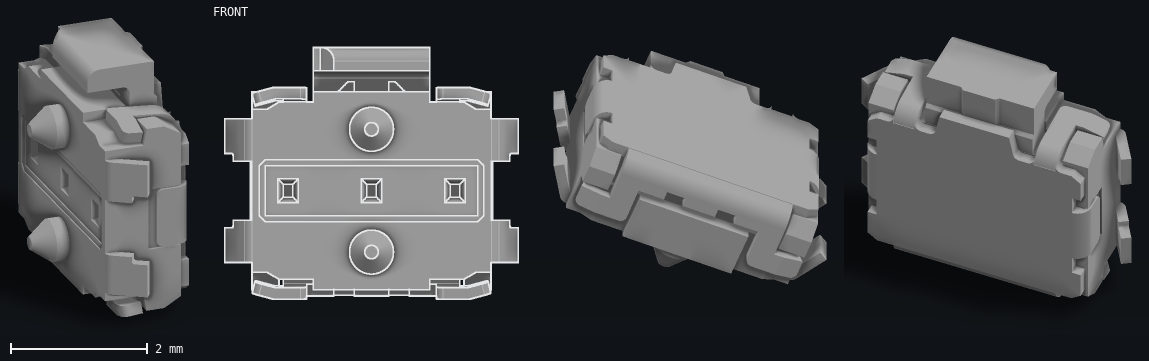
import cadquery as cq
import math


body_half_width = 1.75
shoulder_half_height = 1.3
corner_half_height = 1.195
corner_bevel_outer = 1.525
wing_inner = 1.35
tab_half_width = 0.855
tab_half_height = 1.45
front_depth = 0.675
rear_half_height = 1.215
wing_front = 0.605
wing_slant = 0.047
wing_back = 1.19
wing_bevel_depth = 0.262

field_half_width = 1.643
field_half_height = 0.455
field_chamfer = 0.09
field_border = 0.09
field_step = 0.02
contact_pitch = 1.22
contact_mouth = (0.305, 0.353)
contact_floor = (0.14, 0.185)
contact_depth = 0.43

peg_radius = 0.322
peg_tip_radius = 0.1
peg_straight = 0.198
peg_length = 0.507
peg_offset = 0.9

latch_top = 2.1
latch_front = 0.07
latch_underside = 1.755
latch_nose_radius = 0.198
latch_corner_start = -0.55
latch_corner_cut = 0.2
stem_front = 0.73
stem_back = 1.115
stem_root_radius = 0.105
back_pad = 0.05
back_pad_half_width = 0.255
back_ledge_top = 1.57
recess_depth = 0.02
recess_top = 1.595
recess_rib = 0.255
recess_half_top = 0.345
recess_half_base = 0.49

sheet = 0.17
cover_back = 1.34
cover_front = cover_back - sheet
cover_half_width = 1.7
cover_mid_z = -0.04
cover_half_height = 1.235
cover_chamfer_x = 0.15
cover_chamfer_z = 0.105
cover_notch_half_height = 0.752
hat_top = 1.595
hat_half_top = 0.555
hat_half_base = 0.635

clip_inner = 0.95
clip_outer = 1.295
clip_end = 1.745
clip_front = 0.305
foot_depth = 0.3
clip_reach = 1.552
clip_slope = 5.0
foot_bend = 15.0
foot_bend_x = 1.43
clip_bend_radius = 0.325
foot_corner_radius = 0.095
lip_front = 0.86
lip_notch_front = 0.99
lip_notch_inner = 0.255
lip_notch_outer = 0.55
root_fillet = 0.105

tongue_face = 1.775
tongue_front = 0.81
tongue_half_height = 0.455
tongue_bend_radius = 0.22
tongue_corner_radius = 0.105
pocket_floor = 1.703
pocket_front = 0.68
pocket_half_height = 0.477

leg_tip = (2.15, 0.515)
leg_thickness = 0.155
leg_angle = 58.0
leg_bend_radius = 0.13
leg_top = 1.055
leg_bottom = 0.43
leg_notch_height = 0.11
leg_notch_length = 0.235
leg_notch_radius = 0.04

overlap = 0.085


def box(x_range, y_range, z_range):
    size = [high - low for low, high in (x_range, y_range, z_range)]
    corner = (x_range[0], y_range[0], z_range[0])
    return cq.Workplane("XY").box(*size, centered=False).translate(corner)


def extrude_along_x(points, x_start, x_end):
    """Extrude a (y, z) outline along X."""
    return cq.Workplane("YZ", origin=(x_start, 0, 0)).polyline(points).close().extrude(x_end - x_start)


def extrude_along_y(points, y_start, y_end):
    """Extrude an (x, z) outline along Y."""
    return cq.Workplane("XZ", origin=(0, y_start, 0)).polyline(points).close().extrude(y_start - y_end)


def both_sides(shape):
    return shape.union(shape.mirror("YZ"))


def mirrored_outline(right_half):
    """Close a right-hand outline by mirroring it across X = 0."""
    return right_half + [(-x, z) for x, z in reversed(right_half)]


def make_housing():
    upper_half = [
        (body_half_width, corner_half_height),
        (corner_bevel_outer, corner_half_height),
        (wing_inner, shoulder_half_height),
        (tab_half_width, shoulder_half_height),
        (tab_half_width, tab_half_height),
    ]
    right_half = [(x, -z) for x, z in reversed(upper_half)] + upper_half
    front = extrude_along_y(mirrored_outline(right_half), 0, front_depth)
    rear = box(
        (-body_half_width, body_half_width),
        (front_depth, cover_front),
        (-rear_half_height, rear_half_height),
    )
    wing_upper = [
        (wing_front, corner_half_height),
        (wing_front + wing_slant, tab_half_height),
        (wing_back - wing_bevel_depth, tab_half_height),
        (wing_back, shoulder_half_height),
    ]
    wing_outline = wing_upper + [(y, -z) for y, z in reversed(wing_upper)]
    wing = extrude_along_x(wing_outline, wing_inner, body_half_width)
    return front.union(rear).union(both_sides(wing))


def make_contact_field():
    """Stepped recess with three tapered contact openings."""
    outer = (
        cq.Workplane("XZ")
        .rect(2 * field_half_width, 2 * field_half_height)
        .extrude(-field_step)
        .edges("|Y")
        .chamfer(field_chamfer)
    )
    inner = (
        cq.Workplane("XZ")
        .rect(2 * (field_half_width - field_border), 2 * (field_half_height - field_border))
        .extrude(-2 * field_step)
    )
    field = outer.union(inner)
    for x in (-contact_pitch, 0, contact_pitch):
        opening = (
            cq.Workplane("XZ", origin=(x, 2 * field_step, 0))
            .rect(*contact_mouth)
            .workplane(offset=-contact_depth)
            .rect(*contact_floor)
            .loft()
        )
        field = field.union(opening)
    return field


def make_peg(z):
    half_section = [
        (0, overlap),
        (peg_radius, overlap),
        (peg_radius, -peg_straight),
        (peg_tip_radius, -peg_length),
        (0, -peg_length),
    ]
    peg = cq.Workplane("XY").polyline(half_section).close().revolve(360, (0, 0), (0, 1))
    return peg.translate((0, 0, z))


def make_latch():
    root_z = rear_half_height - overlap
    profile = [
        (stem_back, root_z),
        (stem_back, latch_top),
        (latch_front, latch_top),
        (latch_front, latch_underside),
        (stem_front, latch_underside),
        (stem_front, root_z),
    ]
    latch = extrude_along_x(profile, -tab_half_width, tab_half_width)
    latch = latch.edges(cq.NearestToPointSelector((0, latch_front, latch_top))).fillet(latch_nose_radius)
    latch = latch.edges(cq.NearestToPointSelector((0, stem_front, latch_underside))).fillet(stem_root_radius)

    bevel_back = latch_front + latch_corner_cut
    bevel = (
        cq.Workplane("XY", origin=(0, 0, latch_underside))
        .moveTo(latch_corner_start, latch_front)
        .lineTo(latch_corner_start - latch_corner_cut, bevel_back)
        .lineTo(-tab_half_width, bevel_back)
        .lineTo(-tab_half_width, latch_front)
        .close()
        .extrude(latch_top - latch_underside)
    )
    latch = latch.cut(bevel)

    pad_back = stem_back + back_pad
    pad_base = back_pad_half_width + back_pad
    pad = (
        cq.Workplane("XY", origin=(0, 0, root_z))
        .moveTo(-pad_base, stem_back)
        .lineTo(-back_pad_half_width, pad_back)
        .lineTo(back_pad_half_width, pad_back)
        .lineTo(pad_base, stem_back)
        .close()
        .extrude(latch_top - root_z)
    )
    ledge_outline = [
        (stem_back, root_z),
        (stem_back, back_ledge_top),
        (pad_back, back_ledge_top - back_pad),
        (pad_back, root_z),
    ]
    ledge = extrude_along_x(ledge_outline, -tab_half_width, tab_half_width)

    recess_outline = [
        (recess_rib, tab_half_height),
        (recess_half_base, tab_half_height),
        (recess_half_top, recess_top),
        (recess_rib, recess_top),
    ]
    recess = both_sides(extrude_along_y(recess_outline, stem_front, stem_front + recess_depth))
    return latch.union(pad).union(ledge).cut(recess)


def make_cover_plate():
    top = cover_mid_z + cover_half_height
    bottom = cover_mid_z - cover_half_height
    right_half = [
        (cover_half_width - cover_chamfer_x, bottom),
        (cover_half_width, bottom + cover_chamfer_z),
        (cover_half_width, top - cover_chamfer_z),
        (cover_half_width - cover_chamfer_x, top),
        (hat_half_base, top),
        (hat_half_top, hat_top),
    ]
    plate = extrude_along_y(mirrored_outline(right_half), cover_front, cover_back)
    for x in (-hat_half_base, hat_half_base):
        plate = plate.edges("|Y").edges(cq.NearestToPointSelector((x, cover_front, top))).fillet(root_fillet)
    side_notch = box(
        (tongue_face - tongue_bend_radius, cover_half_width),
        (cover_front, cover_back),
        (-cover_notch_half_height, cover_notch_half_height),
    )
    return plate.cut(both_sides(side_notch))


def make_root_fillet(x, direction):
    """Concave corner where the side of a clip at x meets the upper edge of the cover plate."""
    edge_z = cover_half_height
    arc_offset = root_fillet * (1 - math.sqrt(0.5))
    return (
        cq.Workplane("XZ", origin=(0, cover_front, 0))
        .moveTo(x, edge_z - overlap)
        .lineTo(x + direction * root_fillet, edge_z - overlap)
        .lineTo(x + direction * root_fillet, edge_z)
        .threePointArc((x + direction * arc_offset, edge_z + arc_offset), (x, edge_z + root_fillet))
        .close()
        .extrude(-sheet)
    )


def make_bent_strip(front, x_start, x_end):
    """Sheet strip rising from the plate and bending forward, measured up from the cover's mid height."""
    slope = math.radians(clip_slope)
    bend_y = cover_back - clip_bend_radius
    tangent_y = bend_y + clip_bend_radius * math.sin(slope)
    tangent_z = clip_reach - math.tan(slope) * (tangent_y - clip_front)
    bend_z = tangent_z - clip_bend_radius * math.cos(slope)
    end_z = clip_reach - math.tan(slope) * (front - clip_front)

    def bend_point(radius, angle):
        return (bend_y + radius * math.sin(angle), bend_z + radius * math.cos(angle))

    inner_radius = clip_bend_radius - sheet
    middle = (math.pi / 2 + slope) / 2
    strip = (
        cq.Workplane("YZ", origin=(x_start, 0, 0))
        .moveTo(cover_front, bend_z - overlap)
        .lineTo(cover_back, bend_z - overlap)
        .lineTo(cover_back, bend_z)
        .threePointArc(bend_point(clip_bend_radius, middle), bend_point(clip_bend_radius, slope))
        .lineTo(front, end_z)
        .lineTo(front, end_z - sheet / math.cos(slope))
        .lineTo(*bend_point(inner_radius, slope))
        .threePointArc(bend_point(inner_radius, middle), (cover_front, bend_z))
        .close()
        .extrude(x_end - x_start)
    )
    return strip


def make_clip():
    """One clip: a bent strip whose foot reaches sideways and bends down over the wing."""
    bend = math.radians(foot_bend)
    inner_bend_x = foot_bend_x - sheet * math.tan(bend / 2)
    end_drop = (clip_end - foot_bend_x) * math.tan(bend)
    outer_end = (clip_end, clip_reach - end_drop)
    inner_end = (clip_end - sheet * math.sin(bend), outer_end[1] - sheet * math.cos(bend))
    outline = [
        (clip_inner, clip_reach - sheet),
        (clip_inner, clip_reach),
        (foot_bend_x, clip_reach),
        outer_end,
        inner_end,
        (inner_bend_x, clip_reach - sheet),
    ]
    foot = extrude_along_y(outline, clip_front, clip_front + foot_depth)
    foot = foot.faces("<Y").edges("<X or >X").fillet(foot_corner_radius)
    foot = foot.rotate((0, clip_front, clip_reach), (1, clip_front, clip_reach), -clip_slope)
    strip = make_bent_strip(clip_front + foot_depth - overlap, clip_inner, clip_outer)
    return strip.union(foot)


def make_lower_lip():
    """Short bent edge between the two lower clips, set back at two notches."""
    lip = make_bent_strip(lip_front, -clip_inner, clip_inner)
    notch = box((lip_notch_inner, lip_notch_outer), (lip_front, lip_notch_front), (0, clip_reach))
    return lip.cut(both_sides(notch))


def make_cover():
    clips = both_sides(make_clip())
    lower = clips.union(make_lower_lip()).mirror("XY")
    roots = both_sides(make_root_fillet(clip_inner, -1).union(make_root_fillet(clip_outer, 1)))
    bends = clips.union(roots).union(lower).translate((0, 0, cover_mid_z))
    return make_cover_plate().union(bends)


def make_tongue():
    tongue = box(
        (tongue_face - sheet - overlap, tongue_face),
        (tongue_front, cover_back),
        (-tongue_half_height, tongue_half_height),
    )
    tongue = tongue.edges("|Z and >X and >Y").fillet(tongue_bend_radius)
    return tongue.edges("|X and <Y").fillet(tongue_corner_radius)


def make_tongue_pocket():
    return box(
        (pocket_floor, tongue_face),
        (pocket_front, cover_back),
        (-pocket_half_height, pocket_half_height),
    )


def make_leg():
    """Upper leg on the +X side: flat under the body edge, then bent up and outward."""
    angle = math.radians(leg_angle)
    tip_x, tip_y = leg_tip
    to_root = (-math.cos(angle), -math.sin(angle))
    inward = (-math.sin(angle), math.cos(angle))
    bottom_x = tip_x - tip_y / math.tan(angle)
    inner_tip = (tip_x + leg_thickness * inward[0], tip_y + leg_thickness * inward[1])
    inner_bend_x = inner_tip[0] - (inner_tip[1] - leg_thickness) / math.tan(angle)
    root_x = inner_bend_x - overlap
    profile = [
        (root_x, 0),
        (bottom_x, 0),
        leg_tip,
        inner_tip,
        (inner_bend_x, leg_thickness),
        (root_x, leg_thickness),
    ]
    leg = cq.Workplane("XY", origin=(0, 0, leg_bottom)).polyline(profile).close()
    leg = leg.extrude(leg_top - leg_bottom)
    leg = leg.edges("|Z").edges(cq.NearestToPointSelector((bottom_x, 0, leg_bottom))).fillet(leg_bend_radius)

    blade = cq.Plane(
        origin=(tip_x, tip_y, leg_bottom),
        xDir=(to_root[0], to_root[1], 0),
        normal=(inward[0], inward[1], 0),
    )
    arc_offset = leg_notch_radius * (1 - math.sqrt(0.5))
    notch = (
        cq.Workplane(blade)
        .lineTo(leg_notch_length, 0)
        .lineTo(leg_notch_length, leg_notch_height - leg_notch_radius)
        .threePointArc(
            (leg_notch_length - arc_offset, leg_notch_height - arc_offset),
            (leg_notch_length - leg_notch_radius, leg_notch_height),
        )
        .lineTo(0, leg_notch_height)
        .close()
        .extrude(leg_thickness)
    )
    return leg.cut(notch)


legs = both_sides(make_leg())
legs = legs.union(legs.mirror("XY"))

result = make_housing().cut(both_sides(make_tongue_pocket())).cut(make_contact_field())
for peg_z in (-peg_offset, peg_offset):
    result = result.union(make_peg(peg_z))
result = result.union(make_latch()).union(make_cover()).union(both_sides(make_tongue())).union(legs)